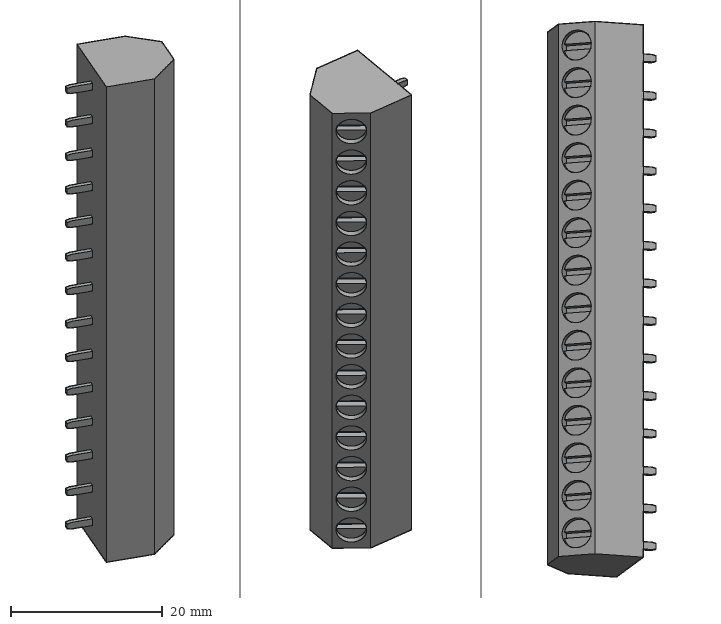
import cadquery as cq


LENGTH = 72.05
WIDTH = 12.0
DEPTH = 10.8
SLOPE_HEIGHT = 4.1
SCREW_SLOPE_WIDTH = 2.95
PLAIN_SLOPE_WIDTH = 4.1

POLE_COUNT = 14
END_MARGIN = 3.0
PITCH = (LENGTH - 2 * END_MARGIN) / (POLE_COUNT - 1)

PIN_LENGTH = 3.5
PIN_WIDTH = 0.65
PIN_HEIGHT = 1.0
PIN_TIP_LENGTH = 0.6
PIN_TIP_HEIGHT = 0.7

SCREW_DIAMETER = 4.0
RECESS_DEPTH = 0.9
SLOT_WIDTH = 0.9
SLOT_DEPTH = 0.95

pole_heights = [END_MARGIN - LENGTH / 2 + i * PITCH for i in range(POLE_COUNT)]


def make_housing():
    """Six-cornered profile with two sloped faces; the -Y face lies on Y = 0."""
    half_width = WIDTH / 2
    shoulder = DEPTH - SLOPE_HEIGHT
    profile = [
        (-half_width, 0),
        (half_width, 0),
        (half_width, shoulder),
        (half_width - PLAIN_SLOPE_WIDTH, DEPTH),
        (-half_width + SCREW_SLOPE_WIDTH, DEPTH),
        (-half_width, shoulder),
    ]
    return cq.Workplane("XY").polyline(profile).close().extrude(LENGTH / 2, both=True)


def make_pin(height):
    """Rectangular pin pointing toward -Y, its tip tapered in height."""
    shank_length = PIN_LENGTH - PIN_TIP_LENGTH
    base = cq.Workplane("XZ", origin=(0, 0, height))
    shank = base.rect(PIN_WIDTH, PIN_HEIGHT).extrude(shank_length)
    tip = (
        base.workplane(offset=shank_length)
        .rect(PIN_WIDTH, PIN_HEIGHT)
        .workplane(offset=PIN_TIP_LENGTH)
        .rect(PIN_WIDTH, PIN_TIP_HEIGHT)
        .loft(ruled=True)
    )
    return shank.union(tip)


def make_screw_cut(height):
    """Round recess square to the sloped face, with a driver slot in its floor."""
    slope_plane = cq.Plane(
        origin=((SCREW_SLOPE_WIDTH - WIDTH) / 2, DEPTH - SLOPE_HEIGHT / 2, height),
        xDir=(SCREW_SLOPE_WIDTH, SLOPE_HEIGHT, 0),
        normal=(-SLOPE_HEIGHT, SCREW_SLOPE_WIDTH, 0),
    )
    face = cq.Workplane(slope_plane)
    recess = face.circle(SCREW_DIAMETER / 2).extrude(-RECESS_DEPTH)
    total_depth = RECESS_DEPTH + SLOT_DEPTH
    bore = face.circle(SCREW_DIAMETER / 2).extrude(-total_depth)
    slot = face.rect(SCREW_DIAMETER, SLOT_WIDTH).extrude(-total_depth).intersect(bore)
    return recess.union(slot)


result = make_housing()
for pole_height in pole_heights:
    result = result.union(make_pin(pole_height))
    result = result.cut(make_screw_cut(pole_height))